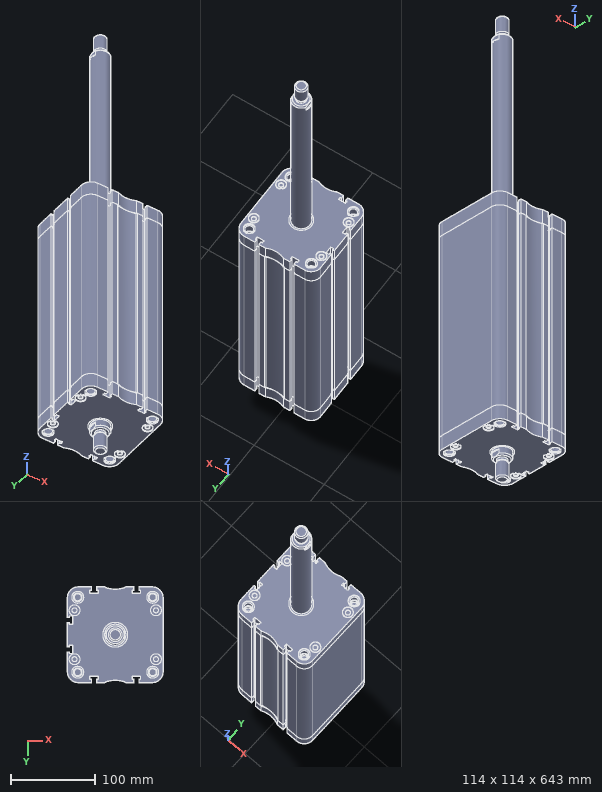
import cadquery as cq

WIDTH = 114.0
CORNER_RADIUS = 13.5
CAP_THICKNESS = 19.0
BARREL_LENGTH = 279.0
BODY_LENGTH = BARREL_LENGTH + 2 * CAP_THICKNESS

SLOT_MOUTH = 6.0
SLOT_INNER_WIDTH = 9.5
FRONT_SLOT_OFFSET = 25.0
FRONT_SLOT_DEPTH = 8.0
FRONT_SLOT_LIP = 4.5
SIDE_SLOT_OFFSET = 17.5
SIDE_SLOT_DEPTH = 6.5
SIDE_SLOT_LIP = 2.5

FLUTE_HALF_WIDTH = 13.0
FLUTE_DEPTH = 2.9
FLUTE_EDGE_BEVEL = 1.0

MOUNT_OFFSET = 44.5
MOUNT_HOLE_DIAMETER = 8.5
COUNTERBORE_DIAMETER = 14.0
COUNTERBORE_DEPTH = 2.0
THREAD_DIAMETER = 10.0
THREAD_DEPTH = 13.0

RECESS_X = 48.0
RECESS_Y = 29.0
RECESS_DIAMETER = 13.0
RECESS_DEPTH = 1.0
SOCKET_DIAMETER = 6.0
SOCKET_DEPTH = 2.5

ROD_DIAMETER = 25.0
ROD_LENGTH = 643.0
ROD_BOTTOM_REACH = 38.5
ROD_SHOULDER_CHAMFER = 2.0
FLATS_WIDTH = 22.0
FLATS_LENGTH = 8.0
STUD_DIAMETER = 16.0
STUD_CHAMFER = 2.0
STUD_LENGTH = 24.5
NECK_DIAMETER = 13.5
NECK_LENGTH = 3.0

WIPER_DIAMETER = 29.5
WIPER_THICKNESS = 6.5


def t_slot(depth, lip, length):
    """T-slot cutter opening at Y = 0 and sinking toward -Y."""
    mouth = cq.Workplane("XY").rect(SLOT_MOUTH, 2 * depth).extrude(length)
    inner_depth = depth - lip
    inner = (
        cq.Workplane("XY")
        .center(0, -lip - inner_depth / 2)
        .rect(SLOT_INNER_WIDTH, inner_depth)
        .extrude(length)
    )
    return mouth.union(inner)


def flute(edge_bevel, length):
    """Flute cutter opening at Y = 0; a bevel, if any, breaks both of its edges."""
    outline = cq.Workplane("XY").moveTo(-FLUTE_HALF_WIDTH, -edge_bevel)
    outline = outline.threePointArc((0, -FLUTE_DEPTH), (FLUTE_HALF_WIDTH, -edge_bevel))
    if edge_bevel > 0:
        outline = outline.lineTo(FLUTE_HALF_WIDTH + edge_bevel, 0)
        outline = outline.lineTo(-FLUTE_HALF_WIDTH - edge_bevel, 0)
    return outline.close().extrude(length)


def profile(length, edge_bevel):
    """Slotted square profile with the rod bore, standing on Z = 0."""
    body = cq.Workplane("XY").rect(WIDTH, WIDTH).extrude(length)
    body = body.edges("|Z").fillet(CORNER_RADIUS)
    front_slot = t_slot(FRONT_SLOT_DEPTH, FRONT_SLOT_LIP, length)
    side_slot = t_slot(SIDE_SLOT_DEPTH, SIDE_SLOT_LIP, length).rotate((0, 0, 0), (0, 0, 1), 90)
    for side in (-1, 1):
        body = body.cut(side_slot.translate((-WIDTH / 2, side * SIDE_SLOT_OFFSET, 0)))
    for turn in (0, 180):
        cutters = [flute(edge_bevel, length)]
        for side in (-1, 1):
            cutters.append(front_slot.translate((side * FRONT_SLOT_OFFSET, 0, 0)))
        for cutter in cutters:
            placed = cutter.translate((0, WIDTH / 2, 0)).rotate((0, 0, 0), (0, 0, 1), turn)
            body = body.cut(placed)
    return body.faces(">Z").workplane(origin=(0, 0, length)).hole(ROD_DIAMETER)


def make_barrel():
    return profile(BARREL_LENGTH, FLUTE_EDGE_BEVEL).translate((0, 0, CAP_THICKNESS))


def make_top_cap():
    cap = profile(CAP_THICKNESS, 0)
    outer_face = cq.Workplane("XY", origin=(0, 0, CAP_THICKNESS))
    mounts = outer_face.rect(2 * MOUNT_OFFSET, 2 * MOUNT_OFFSET, forConstruction=True).vertices()
    recesses = outer_face.rect(2 * RECESS_X, 2 * RECESS_Y, forConstruction=True).vertices()
    cutters = (
        mounts.circle(MOUNT_HOLE_DIAMETER / 2).extrude(-CAP_THICKNESS),
        mounts.circle(THREAD_DIAMETER / 2).extrude(-THREAD_DEPTH),
        mounts.circle(COUNTERBORE_DIAMETER / 2).extrude(-COUNTERBORE_DEPTH),
        recesses.circle(RECESS_DIAMETER / 2).extrude(-RECESS_DEPTH),
        recesses.circle(SOCKET_DIAMETER / 2).extrude(-SOCKET_DEPTH),
        outer_face.circle(WIPER_DIAMETER / 2).extrude(-WIPER_THICKNESS),
    )
    for cutter in cutters:
        cap = cap.cut(cutter)
    return cap.translate((0, 0, BODY_LENGTH - CAP_THICKNESS))


def make_top_wiper():
    return (
        cq.Workplane("XY", origin=(0, 0, BODY_LENGTH - WIPER_THICKNESS))
        .circle(WIPER_DIAMETER / 2)
        .circle(ROD_DIAMETER / 2)
        .extrude(WIPER_THICKNESS)
    )


def at_other_end(body):
    """Mirror image of a body at the opposite end of the barrel."""
    return body.mirror("XY", (0, 0, BODY_LENGTH / 2))


def rod_end(shoulder_z):
    """Threaded stud on its neck, rising from the rod shoulder."""
    neck = cq.Workplane("XY", origin=(0, 0, shoulder_z)).circle(NECK_DIAMETER / 2).extrude(NECK_LENGTH)
    stud = (
        cq.Workplane("XY", origin=(0, 0, shoulder_z + NECK_LENGTH))
        .circle(STUD_DIAMETER / 2)
        .extrude(STUD_LENGTH)
        .faces("<Z or >Z")
        .chamfer(STUD_CHAMFER)
    )
    return neck.union(stud)


def make_rod():
    shank_length = ROD_LENGTH - 2 * (STUD_LENGTH + NECK_LENGTH)
    half_shank = shank_length / 2
    shank = cq.Workplane("XY").cylinder(shank_length, ROD_DIAMETER / 2)
    rod = shank.faces("<Z or >Z").chamfer(ROD_SHOULDER_CHAMFER)
    for side_x in (-1, 1):
        for side_z in (-1, 1):
            flat_x = side_x * (FLATS_WIDTH + ROD_DIAMETER) / 2
            flat_z = side_z * (half_shank - FLATS_LENGTH / 2)
            flat_cutter = cq.Workplane("XY").box(ROD_DIAMETER, ROD_DIAMETER, FLATS_LENGTH)
            rod = rod.cut(flat_cutter.translate((flat_x, 0, flat_z)))
    end = rod_end(half_shank)
    rod = rod.union(end).union(end.mirror("XY"))
    return rod.translate((0, 0, ROD_LENGTH / 2 - ROD_BOTTOM_REACH))


barrel = make_barrel()
top_cap = make_top_cap()
bottom_cap = at_other_end(top_cap)
top_wiper = make_top_wiper()
bottom_wiper = at_other_end(top_wiper)
rod = make_rod()

result = cq.Compound.makeCompound(
    [barrel.val(), top_cap.val(), bottom_cap.val(), top_wiper.val(), bottom_wiper.val(), rod.val()]
)